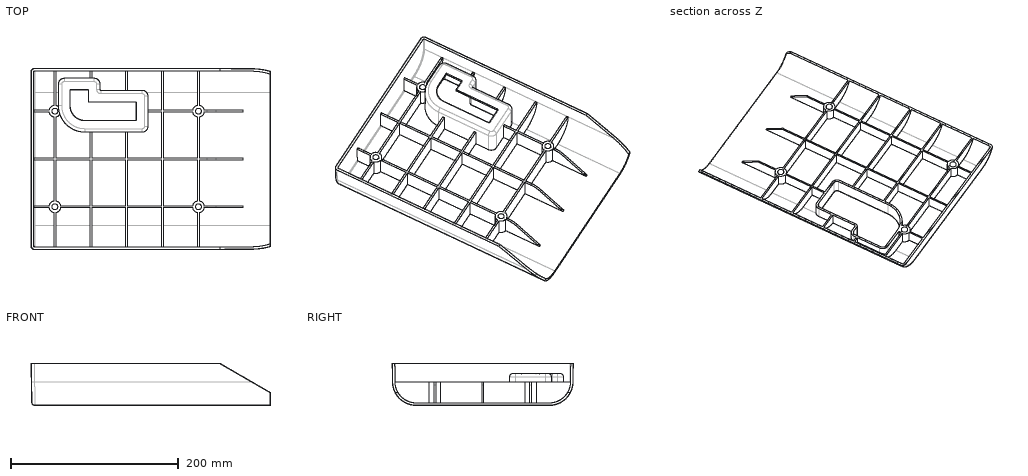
import cadquery as cq
import math

length = 285.61
width = 215.95
height = 50.05
wall = 3.0
side_draft = math.tan(math.radians(0.5))
end_draft = math.tan(math.radians(1.0))
corner_radius = 28.5
end_fillet = 4.0
slope_start = 225.4
slope = math.tan(math.radians(30.0))
clearance = 10.0

rib_top = 28.0
rib_width = 2.3
rib_pitch_x = 42.8
rib_pitch_y = 57.0
cross_rib_count = 5
first_rib_x = 28.5
last_rib_x = first_rib_x + (cross_rib_count - 1) * rib_pitch_x
rib_end = 252.8
rib_slope = math.tan(math.radians(34.0))
rib_slope_start = rib_end - (rib_top - wall) / rib_slope
rib_knee_radius = 20.0
boss_diameter = 14.0
boss_hole_diameter = 7.0
boss_hole_depth = 20.0
drill_tip_angle = 118.0
drill_tip_depth = boss_hole_diameter / 2 / math.tan(math.radians(drill_tip_angle / 2))

grip_top = 38.0
grip_left = 32.7
grip_right = 139.5
grip_bottom = 32.0
grip_back = 96.3
grip_step_x = 82.3
grip_step_y = 81.9
grip_large_radius = 31.5
grip_corner_radius = 7.0
grip_inside_radius = 1.0
grip_top_fillet = 4.0
lip_inset = 14.0


def tub(inset, fillet, top):
    """Solid tray body, moved inwards by inset from the outer faces."""
    radius = corner_radius - inset
    rim_half = width / 2 - inset + (top - height) * side_draft
    floor_half = width / 2 - inset - (height - inset) * side_draft
    section = (
        cq.Workplane("YZ")
        .polyline([(-rim_half, top), (-floor_half, inset), (floor_half, inset), (rim_half, top)])
        .close()
        .extrude(length)
        .edges("|X and <Z")
        .fillet(radius)
    )
    end_shape = (
        cq.Workplane("XZ")
        .polyline([
            (inset - (top - height) * end_draft, top),
            (inset + (height - inset) * end_draft, inset),
            (length, inset),
            (length, top),
        ])
        .close()
        .extrude(width, both=True)
    )
    body = section.intersect(end_shape)
    return body.faces("<X").edges("not >Z").fillet(fillet)


def slope_cutter():
    """Everything above the falling rim at the open end."""
    far_x = length + clearance
    rise = height + clearance
    return (
        cq.Workplane("XZ")
        .polyline([
            (slope_start - clearance / slope, rise),
            (far_x, height - (far_x - slope_start) * slope),
            (far_x, rise),
        ])
        .close()
        .extrude(width, both=True)
    )


def cross_ribs():
    ribs = cq.Workplane("XY")
    for index in range(cross_rib_count):
        rib = cq.Workplane("XY").box(rib_width, width, rib_top, centered=(True, True, False))
        ribs = ribs.add(rib.translate((first_rib_x + index * rib_pitch_x, 0, 0)))
    return ribs.combine()


def long_ribs():
    profile = (
        cq.Workplane("XZ")
        .polyline([(0, 0), (rib_end, 0), (rib_end, wall), (rib_slope_start, rib_top), (0, rib_top)])
        .close()
        .extrude(rib_width / 2, both=True)
        .edges(cq.selectors.NearestToPointSelector((rib_slope_start, 0, rib_top)))
        .fillet(rib_knee_radius)
    )
    ribs = cq.Workplane("XY")
    for row in (-1, 0, 1):
        ribs = ribs.add(profile.translate((0, row * rib_pitch_y, 0)))
    return ribs.combine()


def boss_positions():
    return [(x, side * rib_pitch_y) for x in (first_rib_x, last_rib_x) for side in (-1, 1)]


def boss_hole():
    """Blind hole with a conical bottom, its mouth at Z = rib_top."""
    radius = boss_hole_diameter / 2
    return (
        cq.Workplane("XZ")
        .polyline([
            (0, rib_top),
            (radius, rib_top),
            (radius, rib_top - boss_hole_depth),
            (0, rib_top - boss_hole_depth - drill_tip_depth),
        ])
        .close()
        .revolve(360, (0, 0), (0, 1))
    )


def grip_prism(inset, bottom, top, rounded):
    """L-shaped prism, moved inwards by inset; rounded also rounds its small corners."""
    left = grip_left + inset
    right = grip_right - inset
    front = grip_bottom + inset
    back = grip_back - inset
    step_x = grip_step_x - inset
    step_y = grip_step_y - inset
    body = (
        cq.Workplane("XY")
        .workplane(offset=bottom)
        .polyline([
            (left, front),
            (right, front),
            (right, step_y),
            (step_x, step_y),
            (step_x, back),
            (left, back),
        ])
        .close()
        .extrude(top - bottom)
    )

    def upright_edge(x, y):
        middle = (x, y, (bottom + top) / 2)
        return cq.selectors.NearestToPointSelector(middle)

    body = body.edges(upright_edge(left, front)).fillet(grip_large_radius - inset)
    if rounded:
        for corner in ((right, front), (right, step_y), (step_x, back), (left, back)):
            body = body.edges(upright_edge(*corner)).fillet(grip_corner_radius - inset)
        body = body.edges(upright_edge(step_x, step_y)).fillet(grip_inside_radius + inset)
    return body


outer_body = tub(0, end_fillet, height)
cavity = tub(wall, end_fillet - wall, height + clearance)
shell = outer_body.cut(cavity).cut(slope_cutter())

bosses = cq.Workplane("XY").pushPoints(boss_positions()).circle(boss_diameter / 2).extrude(rib_top)
inner_frame = cross_ribs().union(long_ribs()).union(bosses).intersect(outer_body)
tray = shell.union(inner_frame)
for boss_x, boss_y in boss_positions():
    tray = tray.cut(boss_hole().translate((boss_x, boss_y, 0)))

grip = grip_prism(0, 0, grip_top, True).faces(">Z").edges().fillet(grip_top_fillet).intersect(outer_body)
grip_hollow = grip_prism(wall, -clearance, grip_top - wall, True)
grip_opening = grip_prism(lip_inset, 0, grip_top + clearance, False)

result = tray.union(grip).cut(grip_hollow).cut(grip_opening)